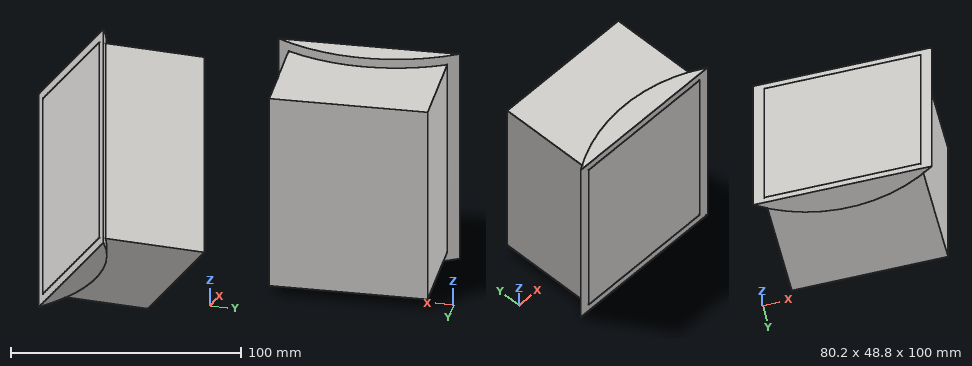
import cadquery as cq

frame_width = 80.2
frame_height = 100.0
frame_bow = 11.5

block_width = 70.1
block_height = 91.5
block_depth = 48.8


def make_block():
    """Block centred on X and Z, with its front face on Y = 0."""
    return cq.Workplane("XY").box(
        block_width, block_depth, block_height, centered=(True, False, True)
    )


def make_frame(block):
    """Arc-backed plate with an opening that fits the block."""
    half_width = frame_width / 2
    plate = (
        cq.Workplane("XY")
        .workplane(offset=-frame_height / 2)
        .moveTo(-half_width, 0)
        .lineTo(half_width, 0)
        .threePointArc((0, frame_bow), (-half_width, 0))
        .close()
        .extrude(frame_height)
    )
    return plate.cut(block)


block = make_block()
frame = make_frame(block)

result = cq.Compound.makeCompound([block.val(), frame.val()])